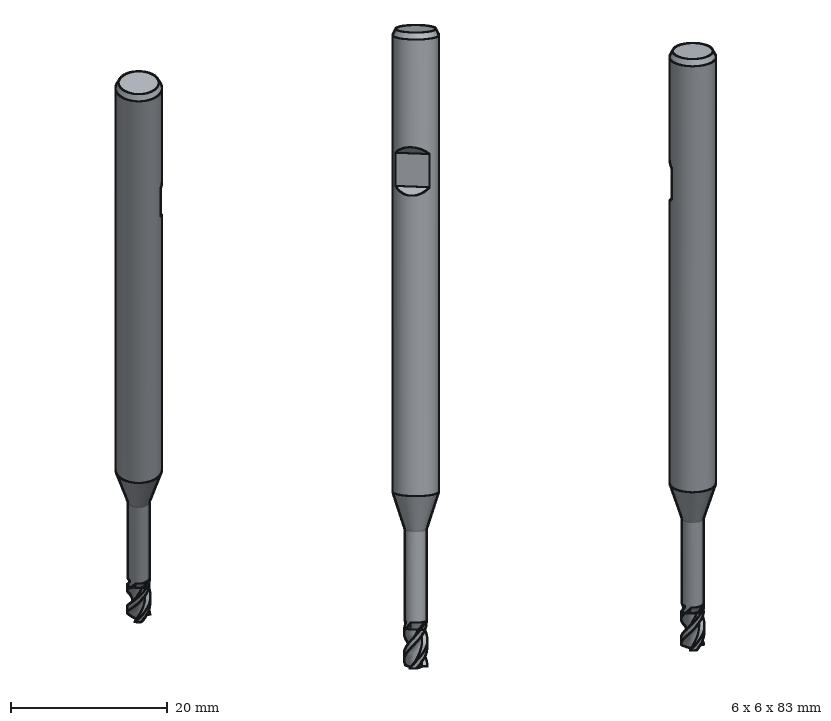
import cadquery as cq
import math

TOTAL_LENGTH = 83.0

SHANK_RADIUS = 3.0
SHANK_BOTTOM = 22.75
TOP_BEVEL_HEIGHT = 0.8
TOP_BEVEL_WIDTH = 0.4

NECK_RADIUS = 1.4
NECK_TOP = 17.85

FLAT_DEPTH = 1.0
FLAT_LENGTH = 4.3
FLAT_CENTER_Z = 65.0

CUTTER_RADIUS = 1.5
CUTTER_LENGTH = 5.0
CORE_RADIUS = 0.8
FLUTE_COUNT = 3
FLUTE_LEAD = 10.2
FLUTE_ANGLE = 26.0
FLUTE_HALF_WIDTH = 43.0
RUNOUT_FLOOR_RADIUS = 1.0
RUNOUT_HEIGHT = 1.0

CLEARANCE = 0.4

RUNOUT_TOP = CUTTER_LENGTH + RUNOUT_HEIGHT


def polar(radius, angle):
    """Point in the XY plane at a radius and an angle in degrees."""
    return (radius * math.cos(math.radians(angle)), radius * math.sin(math.radians(angle)))


def make_flute(direction):
    """Twisted flute volume: a curved back and floor, and a flat radial cutting face."""
    outer_radius = CUTTER_RADIUS + CLEARANCE
    cutting_side = direction + FLUTE_HALF_WIDTH
    back_side = direction - FLUTE_HALF_WIDTH
    height = RUNOUT_TOP + CLEARANCE
    return (
        cq.Workplane("XY")
        .moveTo(*polar(outer_radius, cutting_side))
        .lineTo(*polar(CORE_RADIUS, cutting_side))
        .threePointArc(polar(CORE_RADIUS, direction), polar(CUTTER_RADIUS, back_side))
        .lineTo(*polar(outer_radius, back_side))
        .threePointArc(polar(outer_radius, direction), polar(outer_radius, cutting_side))
        .close()
        .twistExtrude(height, 360.0 * height / FLUTE_LEAD)
    )


def make_runout_core():
    """Cone that lifts the flute floor gradually to the neck surface."""
    return (
        cq.Workplane("XZ")
        .moveTo(0, CUTTER_LENGTH - CLEARANCE)
        .lineTo(RUNOUT_FLOOR_RADIUS, CUTTER_LENGTH - CLEARANCE)
        .lineTo(RUNOUT_FLOOR_RADIUS, CUTTER_LENGTH)
        .lineTo(NECK_RADIUS, RUNOUT_TOP)
        .lineTo(CUTTER_RADIUS + 2 * CLEARANCE, RUNOUT_TOP)
        .lineTo(CUTTER_RADIUS + 2 * CLEARANCE, RUNOUT_TOP + 2 * CLEARANCE)
        .lineTo(0, RUNOUT_TOP + 2 * CLEARANCE)
        .close()
        .revolve(360, (0, 0, 0), (0, 1, 0))
    )


def make_clamping_notch():
    """Trapezoidal prism that leaves the clamping flat with sloped ends."""
    floor_y = SHANK_RADIUS - FLAT_DEPTH
    outside_y = SHANK_RADIUS + CLEARANCE
    half_floor = FLAT_LENGTH / 2
    half_mouth = half_floor + outside_y - floor_y
    return (
        cq.Workplane("YZ")
        .moveTo(floor_y, FLAT_CENTER_Z - half_floor)
        .lineTo(floor_y, FLAT_CENTER_Z + half_floor)
        .lineTo(outside_y, FLAT_CENTER_Z + half_mouth)
        .lineTo(outside_y, FLAT_CENTER_Z - half_mouth)
        .close()
        .extrude(SHANK_RADIUS, both=True)
    )


def make_shank(flutes):
    """Shank, cone and neck turned as one body, with the flat and the flute run-outs."""
    body = (
        cq.Workplane("XZ")
        .moveTo(0, CUTTER_LENGTH)
        .lineTo(NECK_RADIUS, CUTTER_LENGTH)
        .lineTo(NECK_RADIUS, NECK_TOP)
        .lineTo(SHANK_RADIUS, SHANK_BOTTOM)
        .lineTo(SHANK_RADIUS, TOTAL_LENGTH - TOP_BEVEL_HEIGHT)
        .lineTo(SHANK_RADIUS - TOP_BEVEL_WIDTH, TOTAL_LENGTH)
        .lineTo(0, TOTAL_LENGTH)
        .close()
        .revolve(360, (0, 0, 0), (0, 1, 0))
        .cut(make_clamping_notch())
    )
    runout_core = make_runout_core()
    for flute in flutes:
        body = body.cut(flute.cut(runout_core))
    return body


def make_cutter(flutes):
    """Cylindrical cutting head with helical flutes along its full length."""
    body = cq.Workplane("XY").circle(CUTTER_RADIUS).extrude(CUTTER_LENGTH)
    for flute in flutes:
        body = body.cut(flute)
    return body


flutes = [make_flute(FLUTE_ANGLE + i * 360.0 / FLUTE_COUNT) for i in range(FLUTE_COUNT)]
shank = make_shank(flutes)
cutter = make_cutter(flutes)

result = cq.Compound.makeCompound([shank.solids().val(), cutter.solids().val()])